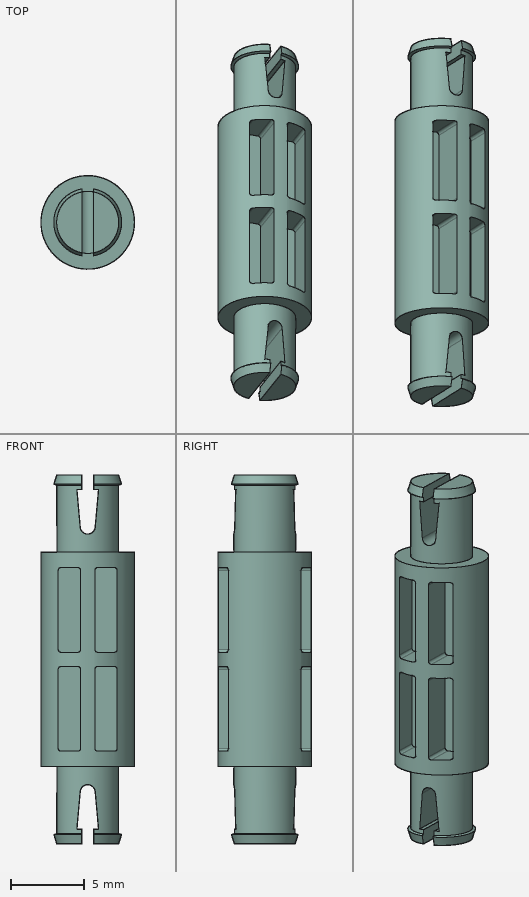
import cadquery as cq
import math

total_length = 24.98
body_length = 14.52
body_diameter = 6.35

peg_diameter = 4.2
barb_tip_diameter = 4.2
barb_diameter = 4.6
barb_height = 0.63
barb_underside_drop = 0.07

slot_mouth_width = 0.8
slot_mouth_depth = 1.0
slot_shoulder_width = 1.45
slot_depth = 4.0
slot_end_radius = 0.5

pocket_outer_x = 2.0
rib_width = 0.96
web_thickness = rib_width
cross_band_height = 0.96
pocket_height = 5.74
pocket_corner_radius = 0.2

half_length = total_length / 2
body_radius = body_diameter / 2


def make_spacer_blank():
    """Plain cylindrical body with a barbed peg on each end."""
    body_top = body_length / 2
    barb_rim = half_length - barb_height
    barb_base = barb_rim - barb_underside_drop
    peg_radius = peg_diameter / 2
    body = cq.Workplane("XY").circle(body_radius).extrude(body_length).translate((0, 0, -body_top))
    upper_peg = (
        cq.Workplane("XZ")
        .moveTo(0, body_top)
        .lineTo(peg_radius, body_top)
        .lineTo(peg_radius, barb_base)
        .lineTo(barb_diameter / 2, barb_rim)
        .lineTo(barb_tip_diameter / 2, half_length)
        .lineTo(0, half_length)
        .close()
        .revolve(360, (0, 0, 0), (0, 1, 0))
    )
    return body.union(upper_peg).union(upper_peg.mirror("XY"))


def make_upper_slot():
    """Keyhole slot along Y: narrow mouth, then a taper into a round end."""
    mouth_x = slot_mouth_width / 2
    shoulder_x = slot_shoulder_width / 2
    shoulder_z = half_length - slot_mouth_depth
    end_z = half_length - slot_depth
    centre_z = end_z + slot_end_radius

    rise = shoulder_z - centre_z
    shoulder_angle = math.atan2(rise, shoulder_x)
    tangent_angle = shoulder_angle - math.acos(slot_end_radius / math.hypot(shoulder_x, rise))
    tangent_x = slot_end_radius * math.cos(tangent_angle)
    tangent_z = centre_z + slot_end_radius * math.sin(tangent_angle)

    return (
        cq.Workplane("XZ")
        .moveTo(-mouth_x, half_length)
        .lineTo(-mouth_x, shoulder_z)
        .lineTo(-shoulder_x, shoulder_z)
        .lineTo(-tangent_x, tangent_z)
        .threePointArc((0, end_z), (tangent_x, tangent_z))
        .lineTo(shoulder_x, shoulder_z)
        .lineTo(mouth_x, shoulder_z)
        .lineTo(mouth_x, half_length)
        .close()
        .extrude(body_radius, both=True)
    )


def make_pocket(x_side, y_side, z_side):
    """One rounded pocket running from the central web out through the body wall."""
    inner_x = rib_width / 2
    floor_y = web_thickness / 2
    pocket_width = pocket_outer_x - inner_x
    pocket_length = body_radius - floor_y
    centre_x = x_side * (inner_x + pocket_width / 2)
    centre_y = y_side * (floor_y + pocket_length / 2)
    centre_z = z_side * (cross_band_height + pocket_height) / 2
    return (
        cq.Workplane("XY")
        .box(pocket_width, pocket_length, pocket_height)
        .edges("|Y")
        .fillet(pocket_corner_radius)
        .translate((centre_x, centre_y, centre_z))
    )


result = make_spacer_blank()

upper_slot = make_upper_slot()
result = result.cut(upper_slot).cut(upper_slot.mirror("XY"))

for x_side in (-1, 1):
    for y_side in (-1, 1):
        for z_side in (-1, 1):
            result = result.cut(make_pocket(x_side, y_side, z_side))